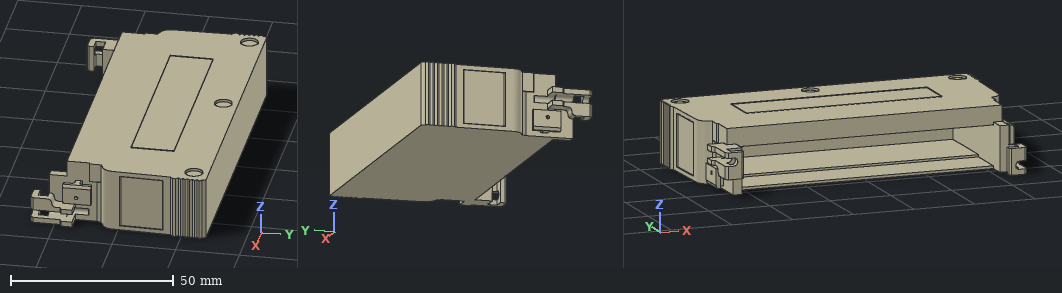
import cadquery as cq


half_width = 51.4
height = 20.0
depth = 44.6
side_draft = 0.028

corner_start_x = 50.1
corner_end_y = -1.2
corner_bulge = 0.15
ridge_count = 5
ridges_length = 7.4
ridge_pitch = ridges_length / ridge_count
ridge_depth = 0.8
first_ridge_y = -2.0
last_ridge_length = 1.0

shoulder_y = -29.6
shoulder_end = (-48.0, -32.8)
shoulder_ledge_end = (-46.7, -33.3)
neck_half_width = 46.1
neck_start_y = -33.7
mouth_step_y = -37.4
mouth_half_width = 45.5
relief_end_y = -35.1
lid_bottom = 13.9

mouth_floor = 0.9
inner_floor = 1.6
inner_floor_y = -31.7
cavity_back_y = -9.3
cavity_half_width = 42.5

label_half_length = 32.3
label_back_y = -13.5
label_front_y = -27.0
label_depth = 0.2
side_label_back_y = -13.5
side_label_front_y = -27.2
side_label_bottom = 1.4
side_label_top = 18.4
side_label_depth = 0.4
side_label_wall_slope = 0.3

screw_diameter = 5.5
screw_y = -4.6
screw_xs = (-45.8, -2.8, 45.8)
screw_recess = 0.8
dome_rise = 0.7

clip_height = 14.8
clip_wall_end_y = -50.2
arm_outer_x = -49.8
arm_start_y = -42.0
arm_bottom = 9.0
hook_bottom = 6.3
ramp_start_y = -47.2
ramp_radius = (arm_bottom - hook_bottom) / 2
hook_neck_x = -47.5
hook_tip_y = -53.2
hook_end_y = -55.3
hook_tip_x = -43.8
hook_outer_chamfer = 0.9
hook_tip_chamfer = 0.6

bump_outer_x = -50.8
bump_flat_end_y = -45.4
bump_end_y = -46.0

groove_width = 2.6
groove_bottom = 10.5
groove_radius = groove_width / 2
groove_z = groove_bottom + groove_radius
groove_floor_x = -45.9
deep_groove_floor_x = -44.9
deep_groove_back_y = -37.8
deep_groove_front_y = -44.3

tab_outer_x = -49.2
tab_inner_x = -47.7
tab_back_y = -36.4
tab_front_y = -45.3
tab_bottom = 1.2
tab_top = 7.6
tab_chamfer_rise = 1.0
tab_chamfer_inset = 0.4
bridge_back_y = -39.7
bridge_sag = 0.5
bridge_front_y = -41.9
bridge_fillet = 0.9
pin_hole_diameter = 1.0
pin_hole_y = -41.0
pin_hole_z = 5.5


def box(x1, x2, y1, y2, z1, z2):
    """Box between opposite corners."""
    return cq.Workplane("XY").box(x2 - x1, y2 - y1, z2 - z1, centered=False).translate((x1, y1, z1))


def side_x(y, inset=0.0):
    """Left side of the housing along the drafted line through the ridge tips."""
    return -half_width - side_draft * (y - first_ridge_y) + inset


def both_sides(left):
    """A left-hand body together with its mirror image."""
    return left.union(left.mirror("YZ"))


def housing_half():
    """Left half of the housing, with the gripping ridges and the rounded shoulder."""
    ridge_valley_y = first_ridge_y - ridge_pitch / 2
    last_ridge_y = first_ridge_y - ridge_count * ridge_pitch
    last_ridge_end_y = last_ridge_y - last_ridge_length
    side_start_y = last_ridge_end_y - ridge_pitch / 2
    corner_end_x = side_x(corner_end_y, ridge_depth)
    shoulder_x = side_x(shoulder_y, ridge_depth)

    outline = cq.Workplane("XY").lineTo(-corner_start_x, 0)
    outline = outline.sagittaArc((corner_end_x, corner_end_y), -corner_bulge)
    for index in range(ridge_count):
        tip_y = first_ridge_y - index * ridge_pitch
        valley_y = ridge_valley_y - index * ridge_pitch
        outline = outline.lineTo(side_x(tip_y), tip_y)
        outline = outline.lineTo(side_x(valley_y, ridge_depth), valley_y)
    outline = (
        outline.lineTo(side_x(last_ridge_y), last_ridge_y)
        .lineTo(side_x(last_ridge_end_y), last_ridge_end_y)
        .lineTo(side_x(side_start_y, ridge_depth), side_start_y)
        .lineTo(shoulder_x, shoulder_y)
        .tangentArcPoint(shoulder_end, relative=False)
        .lineTo(*shoulder_ledge_end)
        .lineTo(-neck_half_width, neck_start_y)
        .lineTo(-neck_half_width, mouth_step_y)
        .lineTo(-mouth_half_width, mouth_step_y)
        .lineTo(-mouth_half_width, -depth)
        .lineTo(0, -depth)
        .close()
    )
    relief = (
        cq.Workplane("XY")
        .moveTo(-neck_half_width, neck_start_y)
        .lineTo(-mouth_half_width, relief_end_y)
        .lineTo(-mouth_half_width, mouth_step_y)
        .lineTo(-neck_half_width, mouth_step_y)
        .close()
        .extrude(lid_bottom)
    )
    return outline.extrude(height).cut(relief)


def cavity():
    """Opening between lid and floor; the floor is a little higher towards the back."""
    front = box(-cavity_half_width, cavity_half_width, -depth, inner_floor_y, mouth_floor, lid_bottom)
    back = box(-cavity_half_width, cavity_half_width, inner_floor_y, cavity_back_y, inner_floor, lid_bottom)
    return front.union(back)


def side_label():
    """Cutter for the left label recess: floor parallel to the drafted side, end walls sloping."""
    floor_back_y = side_label_back_y - side_label_wall_slope
    floor_front_y = side_label_front_y + side_label_wall_slope
    floor_inset = ridge_depth + side_label_depth
    return (
        cq.Workplane("XY", origin=(0, 0, side_label_bottom))
        .polyline([
            (-half_width, side_label_back_y),
            (side_x(side_label_back_y, ridge_depth), side_label_back_y),
            (side_x(floor_back_y, floor_inset), floor_back_y),
            (side_x(floor_front_y, floor_inset), floor_front_y),
            (side_x(side_label_front_y, ridge_depth), side_label_front_y),
            (-half_width, side_label_front_y),
        ])
        .close()
        .extrude(side_label_top - side_label_bottom)
    )


def domed_recess():
    """Round recess whose floor bulges up into a shallow dome, centred on the Z axis."""
    radius = screw_diameter / 2
    rim_z = height - screw_recess
    dome_radius = (radius**2 + dome_rise**2) / (2 * dome_rise)
    dome_centre_z = rim_z + dome_rise - dome_radius
    recess = cq.Workplane("XY", origin=(0, 0, rim_z)).circle(radius).extrude(screw_recess)
    dome = cq.Workplane("XY").sphere(dome_radius).translate((0, 0, dome_centre_z))
    return recess.cut(dome)


def groove(back_y, front_y, floor_x):
    """Round-bottomed groove along Y, open to the outside of the left clip."""
    centre_x = floor_x - groove_radius
    rounded = (
        cq.Workplane("XZ", origin=(centre_x, back_y, groove_z))
        .circle(groove_radius)
        .extrude(back_y - front_y)
    )
    mouth = box(-half_width, centre_x, front_y, back_y, groove_z - groove_radius, groove_z + groove_radius)
    return rounded.union(mouth)


def clip_arm():
    """Hooked arm with its thumb bump; its underside steps down along an S-shaped ramp."""
    plan = (
        cq.Workplane("XY")
        .polyline([
            (-mouth_half_width, arm_start_y),
            (bump_outer_x, arm_start_y),
            (bump_outer_x, bump_flat_end_y),
            (arm_outer_x, bump_end_y),
            (arm_outer_x, hook_end_y + hook_outer_chamfer),
            (arm_outer_x + hook_outer_chamfer, hook_end_y),
            (hook_tip_x - hook_tip_chamfer, hook_end_y),
            (hook_tip_x, hook_end_y + hook_tip_chamfer),
            (hook_tip_x, hook_tip_y),
            (hook_neck_x, hook_tip_y),
            (hook_neck_x, clip_wall_end_y),
            (-mouth_half_width, clip_wall_end_y),
        ])
        .close()
        .extrude(clip_height)
    )
    ramp_middle = (ramp_start_y - ramp_radius, arm_bottom - ramp_radius)
    ramp_end = (ramp_start_y - 2 * ramp_radius, hook_bottom)
    profile = (
        cq.Workplane("YZ", origin=(-half_width, 0, 0))
        .moveTo(arm_start_y, clip_height)
        .lineTo(arm_start_y, arm_bottom)
        .lineTo(ramp_start_y, arm_bottom)
        .tangentArcPoint(ramp_middle, relative=False)
        .tangentArcPoint(ramp_end, relative=False)
        .lineTo(hook_end_y, hook_bottom)
        .lineTo(hook_end_y, clip_height)
        .close()
        .extrude(half_width)
    )
    return plan.intersect(profile)


def clip_tab():
    """Upright tab beside the arm, tied to the clip wall by a bridge with a hollowed back."""
    tab = (
        cq.Workplane("XZ", origin=(0, tab_back_y, 0))
        .polyline([
            (tab_inner_x, tab_bottom),
            (tab_outer_x + tab_chamfer_inset, tab_bottom),
            (tab_outer_x, tab_bottom + tab_chamfer_rise),
            (tab_outer_x, tab_top),
            (tab_inner_x, tab_top),
        ])
        .close()
        .extrude(tab_back_y - tab_front_y)
    )
    bridge_middle_x = (tab_inner_x - mouth_half_width) / 2
    bridge = (
        cq.Workplane("XY", origin=(0, 0, tab_bottom))
        .moveTo(tab_inner_x, bridge_back_y)
        .threePointArc((bridge_middle_x, bridge_back_y - bridge_sag), (-mouth_half_width, bridge_back_y))
        .lineTo(-mouth_half_width, bridge_front_y)
        .lineTo(tab_inner_x + bridge_fillet, bridge_front_y)
        .tangentArcPoint((tab_inner_x, bridge_front_y - bridge_fillet), relative=False)
        .close()
        .extrude(tab_top - tab_bottom)
    )
    pin_hole = (
        cq.Workplane("YZ", origin=(tab_outer_x, pin_hole_y, pin_hole_z))
        .circle(pin_hole_diameter / 2)
        .extrude(tab_inner_x - tab_outer_x)
    )
    return tab.union(bridge).cut(pin_hole)


def clip():
    """Complete left clip: wall, hooked arm, tab and the cable groove."""
    wall = box(-mouth_half_width, -cavity_half_width, clip_wall_end_y, mouth_step_y, 0, clip_height)
    body = wall.union(clip_arm()).union(clip_tab())
    return body.cut(groove(arm_start_y, hook_end_y, groove_floor_x))


deep_groove = groove(deep_groove_back_y, deep_groove_front_y, deep_groove_floor_x)
clip_axis = ((0, 0, clip_height / 2), (0, 1, clip_height / 2))


def with_right(left):
    """A left clip body together with the same body turned half a turn about the clip axis."""
    return left.union(left.rotate(*clip_axis, 180))


result = both_sides(housing_half()).cut(cavity())
result = result.cut(both_sides(side_label()))
result = result.cut(
    box(-label_half_length, label_half_length, label_front_y, label_back_y, height - label_depth, height)
)
for screw_x in screw_xs:
    result = result.cut(domed_recess().translate((screw_x, screw_y, 0)))
result = result.union(with_right(clip())).cut(with_right(deep_groove))